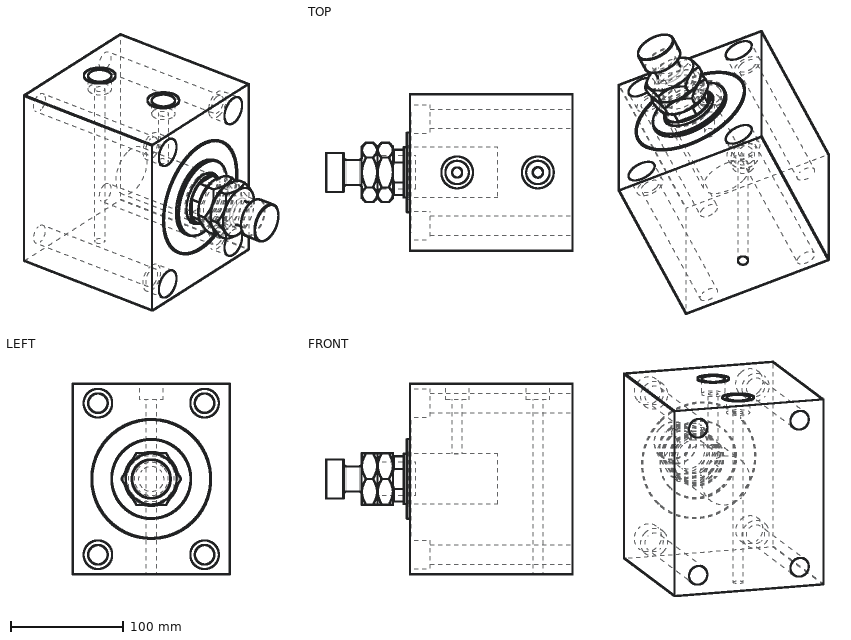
import cadquery as cq
import math


block_length = 145.0
block_width = 140.0
block_height = 170.0
block_chamfer = 0.5

mount_spacing_y = 95.0
mount_spacing_z = 135.0
mount_hole_diameter = 17.2
mount_bore_diameter = 25.5
mount_bore_depth = 18.0

front_port_x = 42.0
rear_port_x = 114.0
port_spot_diameter = 28.4
port_spot_depth = 0.5
port_thread_diameter = 21.0
port_thread_depth = 14.0
port_drill_diameter = 9.0

ring_outer_diameter = 107.0
ring_groove_width = 0.9
ring_groove_depth = 0.9
lip_diameter = 71.3
lip_height = 3.0
lip_chamfer = 0.7
wiper_diameter = 48.2
wiper_depth = 2.0

rod_diameter = 45.0
rod_end_x = -15.0
flats_end_x = -6.0
rod_end_chamfer = 0.7
rod_tail_x = (front_port_x + rear_port_x) / 2
flats_width = 40.5
flats_shank_diameter = 44.2
rod_chamfer = (rod_diameter - flats_shank_diameter) / 2

hex_width = 46.0
hex_length = 14.0
hex_corner_radius = hex_width / math.sqrt(3)
hex_face_radius = 22.7
hex_chamfer = hex_corner_radius - hex_face_radius

pin_hex_x = rod_end_x - hex_length
head_front_x = block_length - 220
head_length = 16.0
head_diameter = 35.0
head_chamfer = 0.55
neck_diameter = 22.5
neck_fillet = 2.0
stud_diameter = 30.0
stud_depth_in_rod = 20.0


def cylinder_x(diameter, start_x, end_x):
    """Cylinder along the main axis, from start_x to end_x."""
    return cq.Workplane("YZ", origin=(start_x, 0, 0)).circle(diameter / 2).extrude(end_x - start_x)


def cylinder_z(diameter, x, bottom_z, top_z):
    """Vertical cylinder centred at x on the middle plane Y = 0, from bottom_z to top_z."""
    return cq.Workplane("XY", origin=(x, 0, bottom_z)).circle(diameter / 2).extrude(top_z - bottom_z)


def chamfered_hexagon(end_x):
    """Hexagon with corners toward +Y and -Y and turned chamfers, ending at end_x."""
    start_x = end_x - hex_length
    prism = cq.Workplane("YZ", origin=(start_x, 0, 0)).polygon(6, 2 * hex_corner_radius).extrude(hex_length)
    turned_blank = cylinder_x(2 * hex_corner_radius, start_x, end_x).edges().chamfer(hex_chamfer)
    return prism.intersect(turned_blank)


def cut_mounting_holes(block):
    return (
        block.faces("<X")
        .workplane(centerOption="CenterOfBoundBox")
        .rect(mount_spacing_y, mount_spacing_z, forConstruction=True)
        .vertices()
        .cboreHole(mount_hole_diameter, mount_bore_diameter, mount_bore_depth)
    )


def cut_port(block, x, drill_bottom_z):
    """Spot-faced oil port: the front drilling meets the rod, the rear one runs through the block."""
    top_z = block_height / 2
    block = block.cut(cylinder_z(port_spot_diameter, x, top_z - port_spot_depth, top_z))
    block = block.cut(cylinder_z(port_thread_diameter, x, top_z - port_thread_depth, top_z))
    return block.cut(cylinder_z(port_drill_diameter, x, drill_bottom_z, top_z))


def make_housing():
    housing = cq.Workplane("YZ").rect(block_width, block_height).extrude(block_length)
    housing = housing.edges("|X").chamfer(block_chamfer)
    housing = cut_mounting_holes(housing)
    housing = cut_port(housing, front_port_x, drill_bottom_z=0)
    housing = cut_port(housing, rear_port_x, drill_bottom_z=-block_height / 2)

    ring_groove = cylinder_x(ring_outer_diameter, 0, ring_groove_depth).cut(
        cylinder_x(ring_outer_diameter - 2 * ring_groove_width, 0, ring_groove_depth)
    )
    lip = cylinder_x(lip_diameter, -lip_height, 0).faces("<X").edges().chamfer(lip_chamfer)
    housing = housing.cut(ring_groove).union(lip)

    housing = housing.cut(cylinder_x(rod_diameter, -lip_height, rod_tail_x))
    return housing.cut(cylinder_x(wiper_diameter, -lip_height, wiper_depth - lip_height))


def make_rod():
    rod = cylinder_x(rod_diameter, flats_end_x, rod_tail_x).faces("<X").edges().chamfer(rod_chamfer)
    flats_length = flats_end_x - rod_end_x
    square = cq.Workplane("YZ", origin=(rod_end_x, 0, 0)).rect(flats_width, flats_width).extrude(flats_length)
    shank = cylinder_x(flats_shank_diameter, rod_end_x, flats_end_x)
    shank = shank.faces("<X").edges().chamfer(rod_end_chamfer)
    rod = rod.union(shank.intersect(square))
    return rod.cut(cylinder_x(stud_diameter, rod_end_x, rod_end_x + stud_depth_in_rod))


def make_lock_nut():
    nut = chamfered_hexagon(rod_end_x)
    return nut.cut(cylinder_x(stud_diameter, pin_hex_x, rod_end_x))


def make_coupling_pin():
    head_back_x = head_front_x + head_length
    hex_front_x = pin_hex_x - hex_length
    head_radius = head_diameter / 2
    neck_radius = neck_diameter / 2
    flare_radius = neck_radius + neck_fillet
    turned_profile = (
        cq.Workplane("XY")
        .moveTo(head_front_x, 0)
        .lineTo(head_front_x, head_radius - head_chamfer)
        .lineTo(head_front_x + head_chamfer, head_radius)
        .lineTo(head_back_x - head_chamfer, head_radius)
        .lineTo(head_back_x, head_radius - head_chamfer)
        .lineTo(head_back_x, flare_radius)
        .radiusArc((head_back_x + neck_fillet, neck_radius), -neck_fillet)
        .lineTo(hex_front_x - neck_fillet, neck_radius)
        .radiusArc((hex_front_x, flare_radius), -neck_fillet)
        .lineTo(hex_front_x, 0)
        .close()
    )
    head_and_neck = turned_profile.revolve(360, (0, 0, 0), (1, 0, 0))
    stud = cylinder_x(stud_diameter, pin_hex_x, rod_end_x + stud_depth_in_rod)
    return head_and_neck.union(chamfered_hexagon(pin_hex_x)).union(stud)


housing = make_housing()
rod = make_rod()
lock_nut = make_lock_nut()
coupling_pin = make_coupling_pin()

result = cq.Compound.makeCompound([housing.val(), rod.val(), lock_nut.val(), coupling_pin.val()])